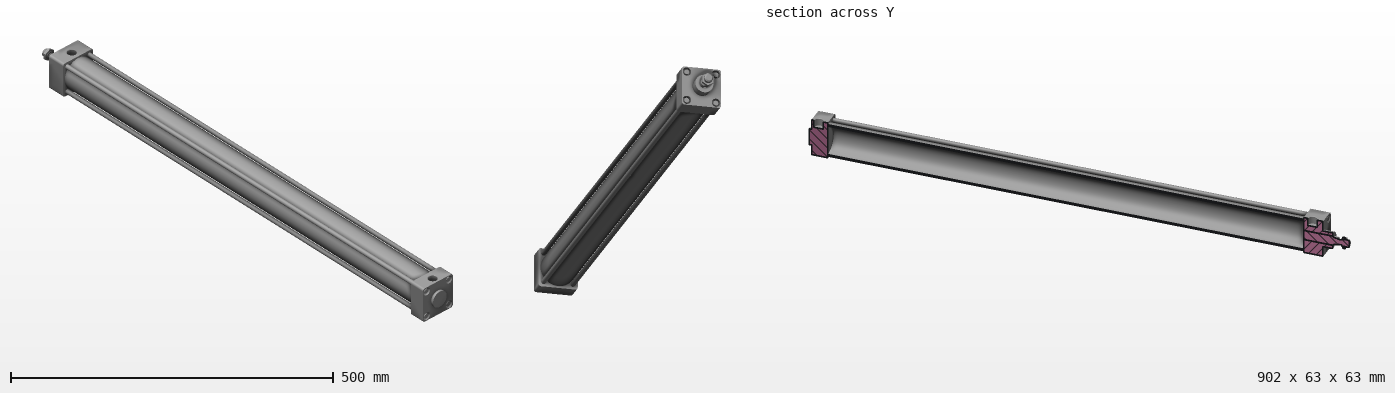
import cadquery as cq
import math

OVERALL_LENGTH = 902.0
NUT_START = 7.0
NUT_END = 12.0
THREAD_END = 13.5
SHOULDER = 20.0
FLATS_END = 26.0
BOSS_START = 28.0
FRONT_HEAD_START = 44.0
FRONT_HEAD_END = 77.0
REAR_HEAD_START = 870.0
REAR_HEAD_END = 897.0

HEAD_SIZE = 63.0
HEAD_EDGE_RADIUS = 4.1
BOSS_DIAMETER = 29.0
SPIGOT_DIAMETER = BOSS_DIAMETER
PORT_CHAMFER = 0.7
CHAMFER_ANGLE = 45
PORT_DIAMETER = 15.0
PORT_MOUTH_DIAMETER = PORT_DIAMETER + 2 * PORT_CHAMFER
PORT_DEPTH = 13.0
FRONT_PORT_X = 62.0
REAR_PORT_X = 885.5

TUBE_OUTER_DIAMETER = 57.0
TUBE_BORE = 50.5

THREAD_DIAMETER = 13.5
TIP_CHAMFER = 2.0
NECK_DIAMETER = 10.0
ROD_DIAMETER = 15.0
ROD_FLATS_WIDTH = 13.0
NUT_WIDTH = 18.0
NUT_SIDES = 6
NUT_TURN = 90

TIE_ROD_DIAMETER = 7.9
TIE_ROD_OFFSET = 23.0
RECESS_DIAMETER = 13.5
RECESS_DEPTH = 9.0
TIE_ROD_END_INSET = 1.0

TIE_ROD_START = FRONT_HEAD_START + TIE_ROD_END_INSET
TIE_ROD_END = REAR_HEAD_END - TIE_ROD_END_INSET
TIE_ROD_CENTRES = [(y * TIE_ROD_OFFSET, z * TIE_ROD_OFFSET) for y in (-1, 1) for z in (-1, 1)]


def rod_along_x(diameter, start, end, centre=(0, 0)):
    """Round bar from X = start to X = end, centred at the given (Y, Z)."""
    return cq.Workplane("YZ", origin=(start, 0, 0)).center(*centre).circle(diameter / 2).extrude(end - start)


def head_block(start, end, port_x):
    """Square head with rounded long edges, a chamfered blind port on top and holes for the tie rods."""
    block = (
        cq.Workplane("YZ", origin=(start, 0, 0))
        .rect(HEAD_SIZE, HEAD_SIZE)
        .extrude(end - start)
        .edges("|X")
        .fillet(HEAD_EDGE_RADIUS)
    )
    top_face = cq.Workplane("XY", origin=(port_x, 0, HEAD_SIZE / 2))
    port = top_face.circle(PORT_DIAMETER / 2).extrude(-PORT_DEPTH)
    mouth = top_face.circle(PORT_MOUTH_DIAMETER / 2).extrude(-PORT_CHAMFER, taper=CHAMFER_ANGLE)
    block = block.cut(port).cut(mouth)
    for centre in TIE_ROD_CENTRES:
        block = block.cut(rod_along_x(TIE_ROD_DIAMETER, start, end, centre))
    return block


def cut_recesses(head, start, end):
    """Counterbore the outer face of a head around each tie rod."""
    for centre in TIE_ROD_CENTRES:
        head = head.cut(rod_along_x(RECESS_DIAMETER, start, end, centre))
    return head


def make_front_head():
    head = head_block(FRONT_HEAD_START, FRONT_HEAD_END, FRONT_PORT_X)
    head = cut_recesses(head, FRONT_HEAD_START, FRONT_HEAD_START + RECESS_DEPTH)
    head = head.union(rod_along_x(BOSS_DIAMETER, BOSS_START, FRONT_HEAD_START))
    return head.cut(rod_along_x(ROD_DIAMETER, BOSS_START, FRONT_HEAD_END))


def make_rear_head():
    head = head_block(REAR_HEAD_START, REAR_HEAD_END, REAR_PORT_X)
    head = cut_recesses(head, REAR_HEAD_END - RECESS_DEPTH, REAR_HEAD_END)
    return head.union(rod_along_x(SPIGOT_DIAMETER, REAR_HEAD_END, OVERALL_LENGTH))


def make_tube():
    outside = rod_along_x(TUBE_OUTER_DIAMETER, FRONT_HEAD_END, REAR_HEAD_START)
    return outside.cut(rod_along_x(TUBE_BORE, FRONT_HEAD_END, REAR_HEAD_START))


def make_piston_rod():
    """Stepped rod: threaded tip, undercut neck, then the full diameter with two wrench flats."""
    tip = rod_along_x(THREAD_DIAMETER, 0, THREAD_END)
    tip = tip.faces("<X").chamfer(TIP_CHAMFER)
    neck = rod_along_x(NECK_DIAMETER, THREAD_END, SHOULDER)
    flats_length = FLATS_END - SHOULDER
    flatted = rod_along_x(ROD_DIAMETER, SHOULDER, FLATS_END).intersect(
        cq.Workplane("YZ", origin=(SHOULDER, 0, 0)).rect(ROD_DIAMETER, ROD_FLATS_WIDTH).extrude(flats_length)
    )
    shank = rod_along_x(ROD_DIAMETER, FLATS_END, FRONT_HEAD_END)
    return tip.union(neck).union(flatted).union(shank)


def make_nut():
    """Hexagon nut with two flats facing along Y."""
    across_corners = NUT_WIDTH / math.cos(math.pi / NUT_SIDES)
    nut = (
        cq.Workplane("YZ", origin=(NUT_START, 0, 0))
        .transformed(rotate=(0, 0, NUT_TURN))
        .polygon(NUT_SIDES, across_corners)
        .extrude(NUT_END - NUT_START)
    )
    return nut.cut(rod_along_x(THREAD_DIAMETER, NUT_START, NUT_END))


def make_tie_rod(centre):
    """Plain round rod reaching into the recesses of both heads."""
    return rod_along_x(TIE_ROD_DIAMETER, TIE_ROD_START, TIE_ROD_END, centre)


front_head = make_front_head()
rear_head = make_rear_head()
tube = make_tube()
piston_rod = make_piston_rod()
nut = make_nut()
tie_rods = [make_tie_rod(centre) for centre in TIE_ROD_CENTRES]

result = cq.Compound.makeCompound(
    [
        front_head.val(),
        rear_head.val(),
        tube.val(),
        piston_rod.val(),
        nut.val(),
        *[tie_rod.val() for tie_rod in tie_rods],
    ]
)